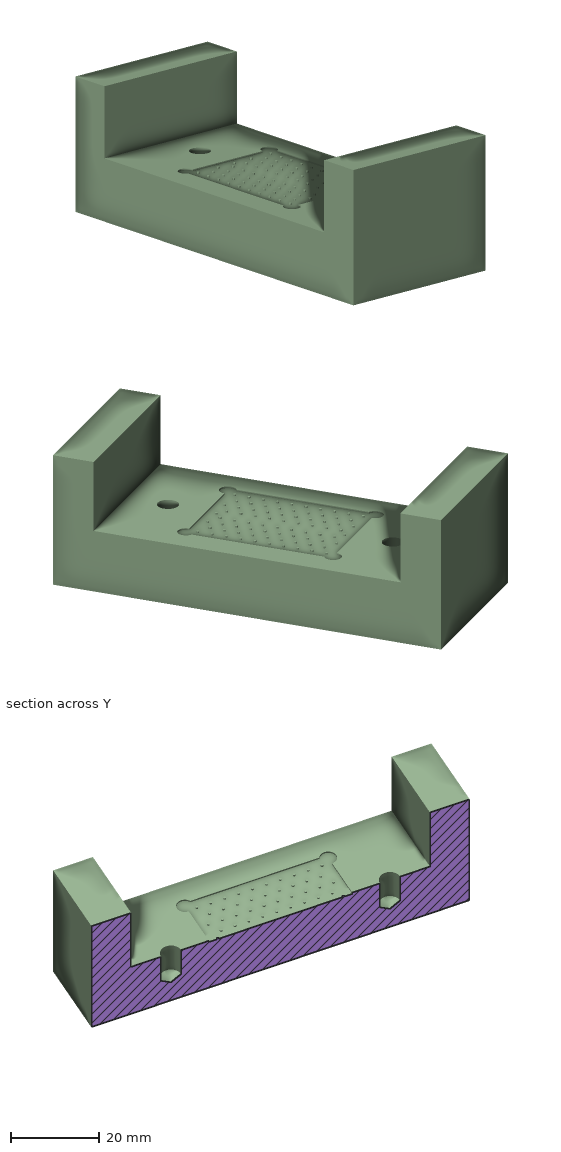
import cadquery as cq
import math

length = 95.0
width = 40.0
height = 32.1
floor_thickness = 15.0
end_wall_thickness = 10.0

pocket_length = 36.0
pocket_width = 26.8
pocket_depth = 0.4
relief_diameter = 4.0
relief_spacing_y = 25.0

pin_diameter = 0.6
pin_height = pocket_depth
pin_row_length = 31.4
pins_per_long_row = 10
inner_row_y = 2.0
outer_row_y = 11.0
rows_per_side = 4

drill_diameter = 5.0
drill_depth = 7.6
drill_tip_angle = 118.0
drill_spacing = 55.0

pocket_floor_z = floor_thickness - pocket_depth


def make_block():
    """Rectangular block, centred in X and Y, with an open channel between two end walls."""
    block = cq.Workplane("XY").box(length, width, height, centered=(True, True, False))
    channel = (
        cq.Workplane("XY", origin=(0, 0, floor_thickness))
        .box(length - 2 * end_wall_thickness, width, height - floor_thickness, centered=(True, True, False))
    )
    return block.cut(channel)


def make_pocket():
    """Cutter for the pocket; the corner reliefs are centred on its two short edges."""
    plane = cq.Workplane("XY", origin=(0, 0, pocket_floor_z))
    rectangle = plane.rect(pocket_length, pocket_width).extrude(pocket_depth)
    reliefs = (
        plane.rect(pocket_length, relief_spacing_y, forConstruction=True)
        .vertices()
        .circle(relief_diameter / 2)
        .extrude(pocket_depth)
    )
    return rectangle.union(reliefs)


def pin_points():
    """Mirrored rows that alternate short and long, plus a single pin at each end of the middle."""
    pin_pitch = pin_row_length / (pins_per_long_row - 1)
    row_pitch = (outer_row_y - inner_row_y) / (rows_per_side - 1)
    points = [(-pin_row_length / 2, 0), (pin_row_length / 2, 0)]
    for row in range(rows_per_side):
        row_y = inner_row_y + row * row_pitch
        is_short_row = row % 2 == 0
        pin_count = pins_per_long_row - 1 if is_short_row else pins_per_long_row
        for pin in range(pin_count):
            pin_x = (pin - (pin_count - 1) / 2) * pin_pitch
            points += [(pin_x, row_y), (pin_x, -row_y)]
    return points


def make_pins():
    """All the pins, standing on the pocket floor."""
    return (
        cq.Workplane("XY", origin=(0, 0, pocket_floor_z))
        .pushPoints(pin_points())
        .circle(pin_diameter / 2)
        .extrude(pin_height)
    )


def make_drilled_hole(center_x):
    """Cutter for a blind hole: a cylinder ending in a cone."""
    radius = drill_diameter / 2
    tip_height = radius / math.tan(math.radians(drill_tip_angle / 2))
    return (
        cq.Workplane("XZ", origin=(center_x, 0, floor_thickness))
        .lineTo(radius, 0)
        .lineTo(radius, -drill_depth)
        .lineTo(0, -drill_depth - tip_height)
        .close()
        .revolve(360, (0, 0, 0), (0, 1, 0))
    )


result = make_block().cut(make_pocket()).union(make_pins())
for side in (-1, 1):
    result = result.cut(make_drilled_hole(side * drill_spacing / 2))